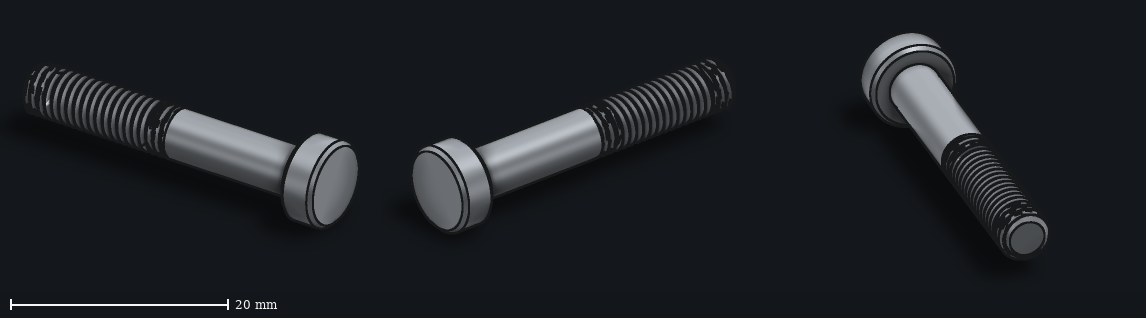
import cadquery as cq
import math

total_length = 33.5
head_diameter = 8.5
head_height = 3.5
head_chamfer = 0.45
shank_diameter = 5.0

thread_pitch = 0.8
thread_turns = 20
thread_length = thread_pitch * thread_turns
root_diameter = 3.95
crest_flat = thread_pitch / 8
flank_angle = 30.0
groove_phase = 0.25
overrun_turns = 2
cutter_clearance = 0.07

tip_face_diameter = 3.42
tip_cone_length = 0.57

seam_angle = 180.0

head_radius = head_diameter / 2
shank_radius = shank_diameter / 2
root_radius = root_diameter / 2


def make_blank():
    """Turn the unthreaded screw around the X axis."""
    head_start = total_length - head_height
    head_face_radius = head_radius - head_chamfer
    profile = [
        (0, 0),
        (0, tip_face_diameter / 2),
        (tip_cone_length, shank_radius),
        (head_start, shank_radius),
        (head_start, head_face_radius),
        (head_start + head_chamfer, head_radius),
        (total_length - head_chamfer, head_radius),
        (total_length, head_face_radius),
        (total_length, 0),
    ]
    blank = cq.Workplane("XY").polyline(profile).close().revolve(360, (0, 0, 0), (1, 0, 0))
    return blank.rotate((0, 0, 0), (1, 0, 0), seam_angle)


def make_thread_groove():
    """Sweep the V groove along a right-handed helix, trimmed where the plain shank begins."""
    flank_slope = math.tan(math.radians(flank_angle))
    mouth_half = (thread_pitch - crest_flat) / 2
    root_half = mouth_half - (shank_radius - root_radius) * flank_slope
    outer_half = mouth_half + cutter_clearance * flank_slope
    outer_radius = shank_radius + cutter_clearance
    overrun = overrun_turns * thread_pitch

    start = groove_phase - thread_pitch
    helix_length = thread_length + overrun
    helix = cq.Wire.makeHelix(thread_pitch, helix_length, root_radius, center=cq.Vector(0, 0, start))
    groove_profile = [
        (root_radius, start - root_half),
        (outer_radius, start - outer_half),
        (outer_radius, start + outer_half),
        (root_radius, start + root_half),
    ]
    groove = cq.Workplane("XZ").polyline(groove_profile).close()
    groove = groove.sweep(cq.Workplane(obj=helix), isFrenet=True)

    trim = cq.Workplane("XY").workplane(offset=-overrun)
    trim = trim.rect(head_diameter, head_diameter).extrude(thread_length + overrun)
    return groove.intersect(trim).rotate((0, 0, 0), (0, 1, 0), 90)


result = make_blank().cut(make_thread_groove())